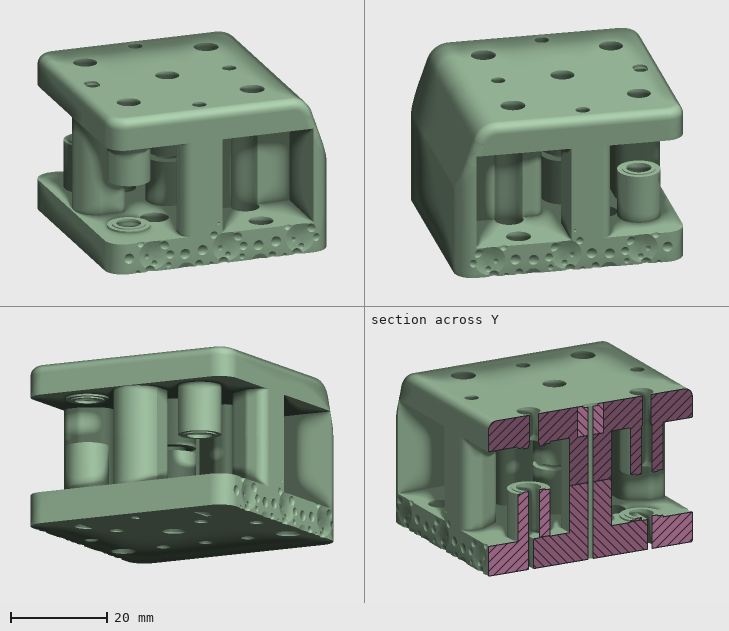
import cadquery as cq
import math

WIDTH = 48.2
DEPTH = 48.7
HEIGHT = 33.8
PLATE = 6.6
CORNER_R = 4.0
TOP_R = 2.0
BACK_WALL = 4.0
SLOPE_ANGLE = 19.0
SLOPE_TOP_Y = 19.35
SLOPE_BLEND_R = 5.0

X_SIDE = WIDTH / 2
Y_SIDE = DEPTH / 2
Z_TOP = HEIGHT / 2
Z_ROOF = Z_TOP - PLATE
Y_WALL = Y_SIDE - BACK_WALL

FLOOR_CORE_HALF = 13.5
FLOOR_CORE_R = 4.0
STRIP_HALF = 3.0
STRIP_NOSE_HALF = 1.0
STRIP_NOSE_Y = -22.35

SCREW_D = 3.0
CENTRE_D = 5.0
CENTRE_POST_D = 9.0
CENTRE_POST_GAP = 0.6
PILLAR_X = 19.55
PILLAR_Y = -3.25
REAR_SCREW_Y = 10.4

SEAT_X = 13.3
SEAT_Y = -16.55
SEAT_D = 9.0
RIM_D = 7.0
SEAT_BORE_D = 5.2
ROOF_SEAT_HOLE_D = 5.0
RIM_H = 0.25
COLLAR_H = 0.4

REAR_HOLE_D = 5.2
ROOF_REAR_X = 14.1
FLOOR_REAR_X = 19.5

CARRIAGE_HALF_PITCH = 10.0
CARRIAGE_Y = 0.3
CARRIAGE_HEAD_D = 6.0
CARRIAGE_HEAD_DEPTH = 3.0

POST_HALF = 5.0
POST_FRONT_Y = -23.9
POST_NOSE_Y = -19.9
POST_BACK_Y = -13.8
POST_BACK_R = 2.0
SLOT_OFFSET = 0.6
FRONT_SLOT_Y = -19.85
FRONT_SLOT_DEPTH = 0.4

BLOCK_HALF = 9.45
BLOCK_FRONT_Y = 2.95
BLOCK_OUTER_R = 1.85
BLOCK_INNER_R = 2.0
BLOCK_NOTCH_HALF = 6.0
BLOCK_NOTCH_ANGLE = 37.0

PILLAR_FRONT_Y = -8.4
PILLAR_BACK_Y = 0.2
PILLAR_INNER_X = 14.45
PILLAR_CORNER_R = 2.0
PILLAR_BEND = (19.8, PILLAR_FRONT_Y)
PILLAR_NOSE_Y = -5.5
PILLAR_NOSE_R = 3.0

CRATER_PITCH = 16.2
CRATER_GROUPS = 3
CRATER_FRONT_Y = -20.5
SHALLOW_RATIO = 0.19
DEEP_RATIO = 0.5
INNER_SINK = 0.4
SHALLOW_CRATERS = [(17.45, -13.3, 3.2), (8.4, -17.9, 2.1)]
INNER_CRATERS = [(17.75, -15.2, 0.6), (16.2, -13.65, 0.6)]
DEEP_CRATERS = [
    (21.1, -13.65, 0.9),
    (19.75, -11.6, 1.05),
    (16.7, -16.5, 1.1),
    (15.6, -8.05, 0.3),
    (14.6, -10.5, 0.8),
    (14.0, -16.8, 0.5),
    (12.05, -13.5, 1.1),
    (11.25, -16.45, 0.85),
    (8.2, -13.9, 1.1),
    (4.6, -15.9, 0.6),
]


def box(x0, x1, y0, y1, z0, z1):
    return cq.Workplane("XY").box(x1 - x0, y1 - y0, z1 - z0, centered=False).translate((x0, y0, z0))


def cylinder(x, y, diameter, z0, z1):
    return cq.Workplane("XY", origin=(x, y, z0)).circle(diameter / 2).extrude(z1 - z0)


def through_hole(x, y, diameter):
    return cylinder(x, y, diameter, -Z_TOP, Z_TOP)


def both_sides(shape):
    return shape.union(shape.mirror("YZ"))


def rounded_block(z0, z1):
    return box(-X_SIDE, X_SIDE, -Y_SIDE, Y_SIDE, z0, z1).edges("|Z").fillet(CORNER_R)


def upper_envelope():
    slope_run = Y_SIDE - SLOPE_TOP_Y
    slope_start_z = Z_TOP - slope_run / math.tan(math.radians(SLOPE_ANGLE))
    wedge = (
        cq.Workplane("YZ")
        .polyline([(Y_SIDE, slope_start_z), (Y_SIDE, Z_TOP), (SLOPE_TOP_Y, Z_TOP)])
        .close()
        .extrude(X_SIDE, both=True)
    )
    body = rounded_block(0, Z_TOP).cut(wedge)
    body = body.faces(">Z").edges(">Y").fillet(SLOPE_BLEND_R)
    return body.faces(">Z").edges("not >Y").fillet(TOP_R)


def front_post(z0, z1):
    return (
        cq.Workplane("XY", origin=(0, 0, z0))
        .moveTo(-POST_HALF, POST_BACK_Y)
        .lineTo(-POST_HALF, POST_NOSE_Y)
        .threePointArc((0, POST_FRONT_Y), (POST_HALF, POST_NOSE_Y))
        .lineTo(POST_HALF, POST_BACK_Y)
        .close()
        .extrude(z1 - z0)
        .edges("|Z and >Y")
        .fillet(POST_BACK_R)
    )


def rear_block(z0, z1):
    block = box(-BLOCK_HALF, BLOCK_HALF, BLOCK_FRONT_Y, Y_WALL, z0, z1)
    block = block.edges("|Z and <Y").fillet(BLOCK_OUTER_R)
    notch_depth = BLOCK_NOTCH_HALF * math.tan(math.radians(BLOCK_NOTCH_ANGLE))
    notch = (
        cq.Workplane("XY", origin=(0, BLOCK_FRONT_Y, z0))
        .polyline([(-BLOCK_NOTCH_HALF, 0), (BLOCK_NOTCH_HALF, 0), (0, notch_depth)])
        .close()
        .extrude(z1 - z0)
    )
    block = block.cut(notch)
    mouth = cq.selectors.BoxSelector(
        (-BLOCK_NOTCH_HALF - 0.1, BLOCK_FRONT_Y - 0.1, z0 - 1),
        (BLOCK_NOTCH_HALF + 0.1, BLOCK_FRONT_Y + 0.1, z1 + 1),
    )
    block = block.edges("|Z").edges(mouth).fillet(BLOCK_INNER_R)
    for x in (-CARRIAGE_HALF_PITCH, CARRIAGE_HALF_PITCH):
        block = block.cut(cylinder(x, CARRIAGE_Y + CARRIAGE_HALF_PITCH, CARRIAGE_HEAD_D, z0, z1))
    return block


def side_pillars(z0, z1):
    outline = [
        (X_SIDE, PILLAR_BACK_Y),
        (X_SIDE, PILLAR_FRONT_Y),
        PILLAR_BEND,
        (PILLAR_INNER_X, PILLAR_NOSE_Y),
        (PILLAR_INNER_X, PILLAR_BACK_Y),
    ]
    pillar = cq.Workplane("XY", origin=(0, 0, z0)).polyline(outline).close().extrude(z1 - z0)

    def corner(point):
        return cq.selectors.BoxSelector(
            (point[0] - 0.1, point[1] - 0.1, z0 - 1), (point[0] + 0.1, point[1] + 0.1, z1 + 1)
        )

    for point, radius in (
        (outline[1], PILLAR_CORNER_R),
        (outline[2], PILLAR_CORNER_R),
        (outline[3], PILLAR_NOSE_R),
    ):
        pillar = pillar.edges("|Z").edges(corner(point)).fillet(radius)
    return both_sides(pillar)


def idler_seat(x, plate_z, direction, height):
    """Seat standing off a plate face, with a thin rim around its bore."""
    end = plate_z + direction * height
    tip = end + direction * RIM_H
    seat = cylinder(x, SEAT_Y, SEAT_D, plate_z, end)
    rim = cylinder(x, SEAT_Y, RIM_D, end, tip)
    return seat.union(rim).cut(cylinder(x, SEAT_Y, SEAT_BORE_D, plate_z, tip))


def front_lens(z0, z1):
    """Hole left where two screw holes, set side by side, overlap."""
    left = cylinder(-SLOT_OFFSET, FRONT_SLOT_Y, SCREW_D, z0, z1)
    return left.intersect(cylinder(SLOT_OFFSET, FRONT_SLOT_Y, SCREW_D, z0, z1))


def middle_holes():
    return (
        through_hole(0, PILLAR_Y, CENTRE_D)
        .union(through_hole(0, REAR_SCREW_Y, SCREW_D))
        .union(front_lens(-Z_TOP, Z_TOP))
    )


def pillar_holes():
    return both_sides(through_hole(PILLAR_X, PILLAR_Y, SCREW_D))


def crater(y, z, radius, depth_ratio, sink):
    """Ball whose cap of the given rim radius lies `sink` below the side face."""
    depth = depth_ratio * radius
    ball_r = (radius**2 + depth**2) / (2 * depth)
    centre_x = X_SIDE - sink - depth + ball_r
    return cq.Workplane("XY").sphere(ball_r).translate((centre_x, y, z))


def cut_craters(body):
    kinds = (
        (SHALLOW_CRATERS, SHALLOW_RATIO, 0),
        (INNER_CRATERS, DEEP_RATIO, INNER_SINK),
        (DEEP_CRATERS, DEEP_RATIO, 0),
    )
    for group in range(CRATER_GROUPS):
        for craters, depth_ratio, sink in kinds:
            for y, z, radius in craters:
                group_y = y - group * CRATER_PITCH
                if group_y > CRATER_FRONT_Y:
                    dimple = crater(group_y, z, radius, depth_ratio, sink)
                    body = body.cut(both_sides(dimple))
    return body


def floor_core_plate():
    plate = box(-FLOOR_CORE_HALF, FLOOR_CORE_HALF, -Y_SIDE, Y_WALL, -Z_TOP, -Z_ROOF)
    return plate.edges("|Z and <Y").fillet(FLOOR_CORE_R)


def lower_housing():
    body = rounded_block(-Z_TOP, 0)
    body = body.cut(box(-X_SIDE, X_SIDE, -Y_SIDE, Y_WALL, -Z_ROOF, 0))
    body = body.union(side_pillars(-Z_ROOF, 0))
    for x in (-SEAT_X, SEAT_X):
        body = body.cut(cylinder(x, SEAT_Y, SEAT_BORE_D, -Z_TOP, -Z_ROOF))
    body = body.cut(both_sides(cylinder(FLOOR_REAR_X, REAR_SCREW_Y, REAR_HOLE_D, -Z_TOP, -Z_ROOF)))
    body = body.cut(floor_core_plate()).cut(pillar_holes())
    body = body.union(idler_seat(-SEAT_X, -Z_ROOF, 1, Z_ROOF))
    body = body.union(idler_seat(SEAT_X, -Z_ROOF, 1, COLLAR_H))
    return cut_craters(body)


def lower_core():
    body = floor_core_plate().union(front_post(-Z_ROOF, 0)).union(rear_block(-Z_ROOF, 0))
    body = body.union(cylinder(0, PILLAR_Y, CENTRE_POST_D, -Z_ROOF, -CENTRE_POST_GAP))
    for x in (-CARRIAGE_HALF_PITCH, CARRIAGE_HALF_PITCH):
        for y in (CARRIAGE_Y - CARRIAGE_HALF_PITCH, CARRIAGE_Y + CARRIAGE_HALF_PITCH):
            body = body.cut(cylinder(x, y, CARRIAGE_HEAD_D, -Z_ROOF - CARRIAGE_HEAD_DEPTH, -Z_ROOF))
            body = body.cut(cylinder(x, y, SCREW_D, -Z_TOP, -Z_ROOF))
    return body.cut(middle_holes())


def upper_shell_blank():
    return upper_envelope().cut(box(-X_SIDE, X_SIDE, -Y_SIDE, Y_WALL, 0, Z_ROOF))


def strip_prism():
    nose_r = STRIP_HALF - STRIP_NOSE_HALF
    wide = box(-STRIP_HALF, STRIP_HALF, STRIP_NOSE_Y, Y_SIDE, 0, Z_TOP)
    wide = wide.edges("|Z and <Y").fillet(nose_r)
    return wide.union(box(-STRIP_NOSE_HALF, STRIP_NOSE_HALF, -Y_SIDE, 0, 0, Z_TOP))


def upper_housing():
    body = upper_shell_blank().cut(strip_prism())
    body = body.union(side_pillars(0, Z_ROOF)).union(front_post(0, Z_ROOF)).union(rear_block(0, Z_ROOF))
    body = body.union(cylinder(0, PILLAR_Y, CENTRE_POST_D, CENTRE_POST_GAP, Z_ROOF))
    body = body.union(idler_seat(SEAT_X, Z_ROOF, -1, Z_ROOF))
    body = body.union(idler_seat(-SEAT_X, Z_ROOF, -1, COLLAR_H))
    for x in (-SEAT_X, SEAT_X):
        body = body.cut(cylinder(x, SEAT_Y, ROOF_SEAT_HOLE_D, Z_ROOF, Z_TOP))
    body = body.cut(both_sides(cylinder(ROOF_REAR_X, REAR_SCREW_Y, REAR_HOLE_D, Z_ROOF, Z_TOP)))
    return body.cut(middle_holes()).cut(pillar_holes())


def upper_strip():
    slot = (
        cq.Workplane("XY", origin=(0, FRONT_SLOT_Y, Z_TOP - FRONT_SLOT_DEPTH))
        .slot2D(SCREW_D + 2 * SLOT_OFFSET, SCREW_D)
        .extrude(FRONT_SLOT_DEPTH)
    )
    return upper_shell_blank().intersect(strip_prism()).cut(middle_holes()).cut(slot)


bodies = [lower_housing(), lower_core(), upper_housing(), upper_strip()]
result = cq.Compound.makeCompound([solid for body in bodies for solid in body.solids().vals()])